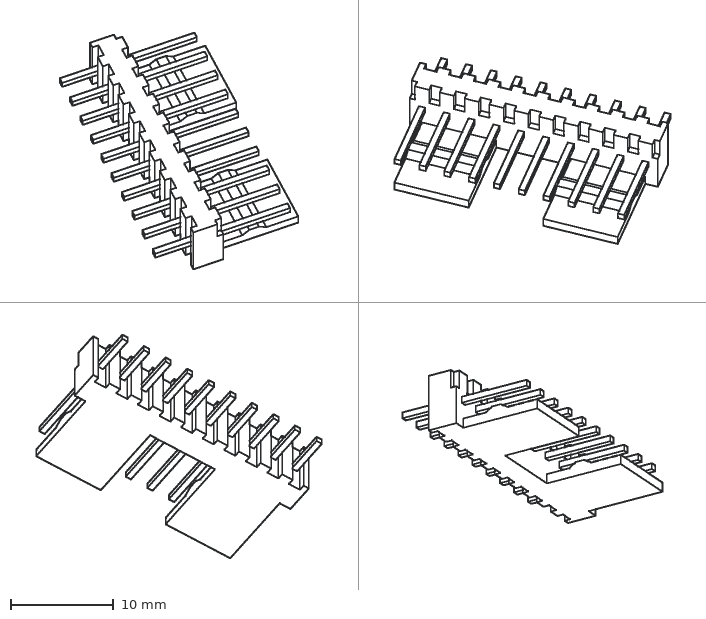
import cadquery as cq

pin_count = 10
pitch = 2.55
pin_size = 0.64
pin_front_y = 0.0
pin_rear_y = 14.22
pin_center_z = 2.87

body_length = pin_count * pitch
body_height = 5.85
body_front_y = 3.6
body_rear_y = 6.78

groove_width = 1.3
groove_depth = 0.64

notch_width = 1.1
notch_depth = 0.64
notch_height = 1.88

pins_per_tab = 4
tab_width = (pins_per_tab - 1) * pitch
tab_rear_y = 15.25
tab_thickness = 1.0
bump_top_z = 1.47
bump_base_start = body_rear_y + 2.55
bump_base_end = body_rear_y + 5.08
bump_crest_start = body_rear_y + 3.28
bump_crest_end = body_rear_y + 4.3

first_pin_x = -body_length / 2 + pitch / 2
last_pin_x = -first_pin_x
pin_positions = [first_pin_x + i * pitch for i in range(pin_count)]
notch_positions = [-body_length / 2 + i * pitch for i in range(pin_count + 1)]


def block(center_x, width, y_start, y_end, z_start, z_end):
    """Rectangular block centered on center_x and spanning the given Y and Z ranges."""
    size_y = y_end - y_start
    size_z = z_end - z_start
    solid = cq.Workplane("XY").box(width, size_y, size_z, centered=(True, False, False))
    return solid.translate((center_x, y_start, z_start))


def make_body():
    body = block(0, body_length, body_front_y, body_rear_y, 0, body_height)
    groove_floor_y = body_front_y + groove_depth
    for x in pin_positions:
        body = body.cut(block(x, groove_width, body_front_y, groove_floor_y, 0, body_height))
    notch_floor_y = body_rear_y - notch_depth
    notch_floor_z = body_height - notch_height
    for x in notch_positions:
        body = body.cut(block(x, notch_width, notch_floor_y, body_rear_y, notch_floor_z, body_height))
    return body


def make_pin(x):
    bottom_z = pin_center_z - pin_size / 2
    return block(x, pin_size, pin_front_y, pin_rear_y, bottom_z, bottom_z + pin_size)


def make_tab(start_x):
    """Flat tab with a trapezoidal locking bump, extruded along X from start_x."""
    profile = [
        (body_rear_y, 0),
        (tab_rear_y, 0),
        (tab_rear_y, tab_thickness),
        (bump_base_end, tab_thickness),
        (bump_crest_end, bump_top_z),
        (bump_crest_start, bump_top_z),
        (bump_base_start, tab_thickness),
        (body_rear_y, tab_thickness),
    ]
    tab = cq.Workplane("YZ").polyline(profile).close().extrude(tab_width)
    return tab.translate((start_x, 0, 0))


result = make_body()
for pin_x in pin_positions:
    result = result.union(make_pin(pin_x))
for tab_start_x in (first_pin_x, last_pin_x - tab_width):
    result = result.union(make_tab(tab_start_x))